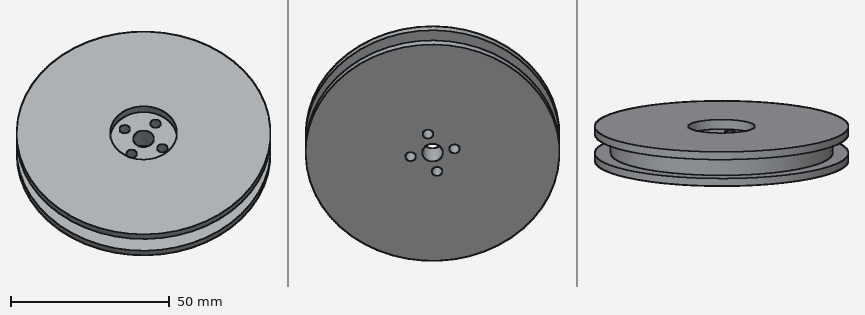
import cadquery as cq

flange_diameter = 80.0
hub_diameter = 70.0
total_height = 11.0
flange_thickness = 2.5
groove_width = total_height - 2 * flange_thickness

recess_diameter = 21.0
recess_depth = 3.0

bore_diameter = 6.5
bolt_hole_diameter = 3.3
bolt_circle_radius = 7.0
bolt_hole_count = 4

wheel = (
    cq.Workplane("XY")
    .circle(flange_diameter / 2)
    .extrude(flange_thickness)
    .faces(">Z")
    .workplane()
    .circle(hub_diameter / 2)
    .extrude(groove_width)
    .faces(">Z")
    .workplane()
    .circle(flange_diameter / 2)
    .extrude(flange_thickness)
)

recess = (
    cq.Workplane("XY")
    .workplane(offset=total_height - recess_depth)
    .circle(recess_diameter / 2)
    .extrude(recess_depth)
)

bore = cq.Workplane("XY").circle(bore_diameter / 2).extrude(total_height)

bolt_holes = (
    cq.Workplane("XY")
    .polarArray(bolt_circle_radius, 0, 360, bolt_hole_count)
    .circle(bolt_hole_diameter / 2)
    .extrude(total_height)
)

result = wheel.cut(recess).cut(bore).cut(bolt_holes)